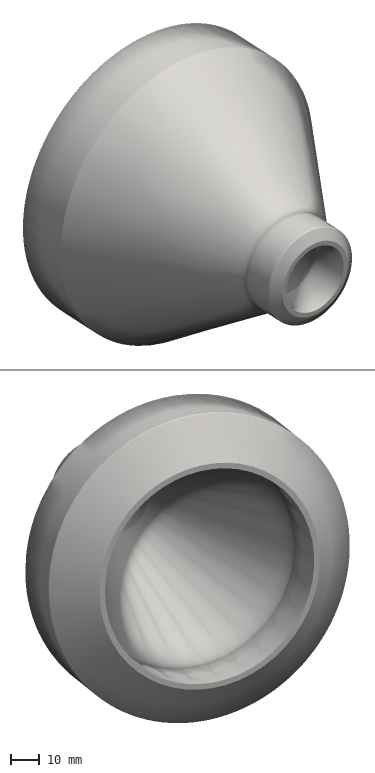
import cadquery as cq

length = 100.0
rim_bevel_length = 9.3
body_end = 30.0
neck_start = 85.0
tip_bevel_length = 2.5

body_diameter = 114.3
rim_diameter = 83.4
neck_diameter = 38.0
tip_diameter = 29.5

mouth_diameter = 79.3
cone_entry_diameter = 78.8
outlet_diameter = 26.0
mouth_depth = 17.0

corner_radius = 0.7

outer_profile = [
    (0, mouth_diameter / 2),
    (0, rim_diameter / 2),
    (rim_bevel_length, body_diameter / 2),
    (body_end, body_diameter / 2),
    (neck_start, neck_diameter / 2),
    (length - tip_bevel_length, neck_diameter / 2),
    (length, tip_diameter / 2),
]
bore_profile = [
    (length, outlet_diameter / 2),
    (neck_start, outlet_diameter / 2),
    (mouth_depth, cone_entry_diameter / 2),
]

body = (
    cq.Workplane("XY")
    .polyline(outer_profile + bore_profile)
    .close()
    .revolve(360, (0, 0, 0), (1, 0, 0))
)

rounded_stations = [rim_bevel_length, body_end, neck_start, length - tip_bevel_length]
outer_wall_diameter = (neck_diameter + outlet_diameter) / 2
station_tolerance = 0.01


def is_rounded_corner(edge):
    """True for an outer circle lying at one of the rounded stations."""
    if edge.geomType() != "CIRCLE" or edge.radius() < outer_wall_diameter / 2:
        return False
    station = edge.arcCenter().x
    return any(abs(station - place) < station_tolerance for place in rounded_stations)


result = body.edges().filter(is_rounded_corner).fillet(corner_radius)